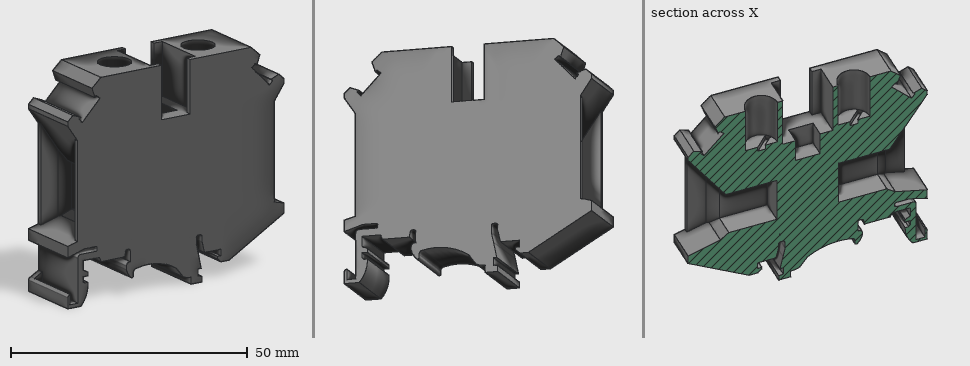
import cadquery as cq
import math


THICKNESS = 15.0
LENGTH = 54.9
HEIGHT = 49.8
END = LENGTH / 2

SHOULDER_Y = 19.05
CHAMFER_TIP = (21.3, 47.8)
NOSE_TIP = (20.55, 45.6)
NOSE_ROOT = (20.2, 45.95)
SEAT_TOP = (19.3, 45.25)
SEAT_BOTTOM = (23.8, 40.65)
BARB_ROOT = (24.55, 41.5)
BARB_TIP = (24.15, 41.85)
LIP_PEAK = (26.15, 42.6)
LIP_FRONT_Z = 41.4
SIDE_Y = 25.0
SIDE_TOP_Z = 36.85
SIDE_BOTTOM_Z = 14.5
LIP_UNDER_Z = 40.4
LEDGE_Z = 13.85
LEDGE_UNDER_Z = 11.65
LATCH_LEDGE_UNDER_Z = 11.3

SKIRT_Z = 6.4
WEB_Z = 9.0
WEB_END_Y = -18.95
ARM_UNDER_Z = 10.0
ARM_ROOT_Y = -19.45
SLOT_TOP_Z = 10.55
SLOT_ROUND = 0.5
CLAW_Y = 11.4
CLAW_TIP_Y = 10.55
CLAW_LIP_TOP_Z = 5.0
CLAW_LIP_BOTTOM_Z = 4.45
CLAW_BOTTOM_Z = 3.6
CLAW_BOTTOM_END_Y = 13.45
SKIRT_SLOT_Y = 6.65
SKIRT_SLOT_KINK_Z = 8.9
SKIRT_SLOT_MOUTH_Y = 7.25

LEG_LEFT_Y = 5.2
LEG_KINK_Z = 8.55
LEG_SKIRT_Y = 5.7
LEG_FLANK_END = (6.4, 3.1)
LEG_NECK_Y = 5.65
LEG_NECK_BOTTOM_Z = 1.5
LEG_TOE_Y = 6.65
LEG_TOE_Z = 1.25
LEG_HEEL_Y = 3.85
LEG_HEEL_Z = 1.6
ARCH_BLEND_MID = (-10.6, 5.65)
ARCH_START = (-10.0, 5.95)
ARCH_MID = (-4.8, 6.1)
ARCH_END = (0.05, 4.25)
HEEL_BLEND_START = (1.8, 2.05)
HEEL_BLEND_MID = (2.7, 1.7)
HOOK_NECK_Z = 7.7
HOOK_INNER_Y = -10.8
HOOK_SLOT_TOP_Y = -12.7
HOOK_SLOT_MOUTH_Y = -13.0
HOOK_Y = -11.6
HOOK_OUTER_Y = -12.6
HOOK_SHOULDER_MID = (-12.3, 7.45)
HOOK_OUTER_TOP_Z = 6.9
HOOK_OUTER_BOTTOM_Z = 6.1
HOOK_FLANK_MID = (-12.15, 5.05)
HOOK_TIP_START = (-11.4, 4.2)
HOOK_TIP_MID = (-11.1, 4.05)
HOOK_INNER_BOTTOM_Z = 4.4
HOOK_INNER_TOP_Z = 5.05

LATCH_GAP_Y = -20.0
LATCH_GAP_BEND_Y = -23.3
LATCH_GAP_TOP_Z = 12.6
LATCH_GAP_BOTTOM_Z = 11.55
LATCH_GAP_ROUND = 0.35
ARM_INNER_Y = -23.5
ARM_OUTER_Y = -24.9
ARM_BEND = 0.75
TOOTH_Y = -22.3
UPPER_TOOTH_ROOT_Z = 7.85
UPPER_TOOTH_TOP_Z = 7.25
UPPER_TOOTH_BOTTOM_Z = 6.4
LOWER_TOOTH_Z = 5.0
TOOTH_GAP_CHAMFER = 0.4
FOOT_TOE_Y = -24.1
FOOT_CURVE_MID = (-22.85, 2.0)
FOOT_SLOPE_TOP_Z = 4.25
RIM_INNER_Y = -26.85
RIM_TOP_Z = 3.15
RIM_MID = (-27.25, 2.9)
RIM_OUTER_Z = 2.5

GROOVE_START_X = -6.05
GROOVE_FLOOR_Z = 0.8

NOTCH_HALF = 3.6
NOTCH_FLOOR_Z = 37.75
POCKET_HALF_X = 6.25
POCKET_HALF_Y = 5.7
WINDOW_X = 7.4
WINDOW_Y = 5.6
WINDOW_DEPTH = 5.5

SCREW_Y = 10.6
SCREW_DIAMETER = 7.25
SCREW_DEPTH = 11.0
DRIVE_WIDTH = 1.15
DRIVE_DEPTH = 1.1
DRIVE_ANGLE = -45.0

ENTRY_HALF_X = 6.5
ENTRY_BORE_HALF_X = 5.05
ENTRY_TAPER_Y = 20.6
ENTRY_BORE_Y = 18.1
ENTRY_BACK_Y = 7.15
ENTRY_ROOF_Z = 27.95
ENTRY_FLOOR_Z = 15.8
ENTRY_STEP_Z = 17.25


def prism(outline):
    """Extrude a closed YZ outline through the whole thickness."""
    return outline.close().extrude(THICKNESS / 2, both=True)


def slope_y(start, end, z):
    """Y on the straight line through two YZ points at height z."""
    return start[0] + (end[0] - start[0]) * (z - start[1]) / (end[1] - start[1])


def body():
    """Full side outline, extruded without slots, holes and pockets."""
    housing_end = [
        (SHOULDER_Y, HEIGHT),
        CHAMFER_TIP,
        NOSE_TIP,
        NOSE_ROOT,
        SEAT_TOP,
        SEAT_BOTTOM,
        BARB_ROOT,
        BARB_TIP,
        LIP_PEAK,
        (END, LIP_FRONT_Z),
        (END, LIP_UNDER_Z),
        (SIDE_Y, SIDE_TOP_Z),
        (SIDE_Y, SIDE_BOTTOM_Z),
        (END, LEDGE_Z),
    ]
    opposite_end = [(-y, z) for y, z in housing_end]

    outline = cq.Workplane("YZ").polyline(housing_end[::-1] + opposite_end)

    outline = (
        outline
        .lineTo(-END, LATCH_LEDGE_UNDER_Z)
        .lineTo(LATCH_GAP_BEND_Y, LATCH_GAP_TOP_Z)
        .lineTo(LATCH_GAP_BEND_Y, LATCH_GAP_BOTTOM_Z)
        .lineTo(ARM_OUTER_Y + ARM_BEND, LATCH_GAP_BOTTOM_Z)
        .tangentArcPoint((-ARM_BEND, -ARM_BEND))
        .lineTo(ARM_OUTER_Y, FOOT_SLOPE_TOP_Z)
        .lineTo(RIM_INNER_Y, RIM_TOP_Z)
        .threePointArc(RIM_MID, (-END, RIM_OUTER_Z))
        .lineTo(-END, 0)
        .lineTo(FOOT_TOE_Y, 0)
        .threePointArc(FOOT_CURVE_MID, (TOOTH_Y, LOWER_TOOTH_Z))
        .lineTo(ARM_INNER_Y + TOOTH_GAP_CHAMFER, LOWER_TOOTH_Z)
        .lineTo(ARM_INNER_Y, LOWER_TOOTH_Z + TOOTH_GAP_CHAMFER)
        .lineTo(ARM_INNER_Y, UPPER_TOOTH_BOTTOM_Z)
        .lineTo(TOOTH_Y, UPPER_TOOTH_BOTTOM_Z)
        .lineTo(TOOTH_Y, UPPER_TOOTH_TOP_Z)
        .lineTo(ARM_INNER_Y, UPPER_TOOTH_ROOT_Z)
        .lineTo(ARM_INNER_Y, ARM_UNDER_Z)
        .lineTo(ARM_ROOT_Y, ARM_UNDER_Z)
        .lineTo(WEB_END_Y, WEB_Z)
        .lineTo(HOOK_Y, WEB_Z)
    )

    outline = (
        outline
        .lineTo(HOOK_Y, HOOK_NECK_Z)
        .threePointArc(HOOK_SHOULDER_MID, (HOOK_OUTER_Y, HOOK_OUTER_TOP_Z))
        .lineTo(HOOK_OUTER_Y, HOOK_OUTER_BOTTOM_Z)
        .threePointArc(HOOK_FLANK_MID, HOOK_TIP_START)
        .threePointArc(HOOK_TIP_MID, (HOOK_INNER_Y, HOOK_INNER_BOTTOM_Z))
        .lineTo(HOOK_INNER_Y, HOOK_INNER_TOP_Z)
        .threePointArc(ARCH_BLEND_MID, ARCH_START)
        .threePointArc(ARCH_MID, ARCH_END)
        .lineTo(*HEEL_BLEND_START)
        .threePointArc(HEEL_BLEND_MID, (LEG_HEEL_Y, LEG_HEEL_Z))
        .lineTo(LEG_HEEL_Y, 0)
        .lineTo(LEG_TOE_Y, 0)
        .lineTo(LEG_TOE_Y, LEG_TOE_Z)
        .lineTo(LEG_NECK_Y, LEG_NECK_BOTTOM_Z)
        .lineTo(LEG_NECK_Y, LEG_FLANK_END[1])
        .lineTo(*LEG_FLANK_END)
        .lineTo(LEG_SKIRT_Y, SKIRT_Z)
    )

    outline = (
        outline
        .lineTo(CLAW_Y, SKIRT_Z)
        .lineTo(CLAW_Y, CLAW_LIP_TOP_Z)
        .lineTo(CLAW_TIP_Y, CLAW_LIP_TOP_Z)
        .lineTo(CLAW_TIP_Y, CLAW_LIP_BOTTOM_Z)
        .lineTo(CLAW_Y, CLAW_BOTTOM_Z)
        .lineTo(CLAW_BOTTOM_END_Y, CLAW_BOTTOM_Z)
        .lineTo(END, LEDGE_UNDER_Z)
    )
    return prism(outline)


def leg_slots():
    """Round-topped slots on both sides of the centre leg."""
    skirt_slot = [
        (SKIRT_SLOT_Y, SLOT_TOP_Z),
        (LEG_LEFT_Y, SLOT_TOP_Z),
        (LEG_LEFT_Y, LEG_KINK_Z),
        (LEG_SKIRT_Y, SKIRT_Z),
        (SKIRT_SLOT_MOUTH_Y, SKIRT_Z),
        (SKIRT_SLOT_Y, SKIRT_SLOT_KINK_Z),
    ]
    hook_slot = [
        (HOOK_Y, SLOT_TOP_Z),
        (HOOK_SLOT_TOP_Y, SLOT_TOP_Z),
        (HOOK_SLOT_MOUTH_Y, WEB_Z),
        (HOOK_Y, WEB_Z),
    ]
    slots = cq.Workplane("YZ")
    for points in (skirt_slot, hook_slot):
        slot = prism(cq.Workplane("YZ").polyline(points))
        slots = slots.add(slot.faces(">Z").edges("|X").fillet(SLOT_ROUND))
    return slots.combine()


def latch_gap():
    """Inner, round-ended part of the gap above the spring arm."""
    gap = prism(cq.Workplane("YZ").polyline([
        (LATCH_GAP_Y, LATCH_GAP_TOP_Z),
        (LATCH_GAP_BEND_Y, LATCH_GAP_TOP_Z),
        (LATCH_GAP_BEND_Y, LATCH_GAP_BOTTOM_Z),
        (LATCH_GAP_Y, LATCH_GAP_BOTTOM_Z),
    ]))
    return gap.faces(">Y").edges("|X").fillet(LATCH_GAP_ROUND)


def foot_groove():
    """Groove behind the foot rim, closed at -X and open at +X."""
    return cq.Workplane("XY").box(
        THICKNESS / 2 - GROOVE_START_X,
        ARM_OUTER_Y - RIM_INNER_Y,
        FOOT_SLOPE_TOP_Z - GROOVE_FLOOR_Z,
        centered=False,
    ).translate((GROOVE_START_X, RIM_INNER_Y, GROOVE_FLOOR_Z))


def middle_notch():
    """Full-width notch, wider pocket between its side walls, and floor window."""
    depth = HEIGHT - NOTCH_FLOOR_Z
    floor = cq.Workplane("XY").workplane(offset=NOTCH_FLOOR_Z)
    notch = floor.rect(THICKNESS, 2 * NOTCH_HALF).extrude(depth)
    pocket = floor.rect(2 * POCKET_HALF_X, 2 * POCKET_HALF_Y).extrude(depth)
    window = floor.rect(WINDOW_X, WINDOW_Y).extrude(-WINDOW_DEPTH)
    return notch.union(pocket).union(window)


def screw_hole(y):
    """Round hole with a diagonal drive slot across the screw head in its floor."""
    floor = cq.Workplane("XY", origin=(0, y, HEIGHT - SCREW_DEPTH))
    radius = SCREW_DIAMETER / 2
    drive_length = 2 * math.sqrt(radius**2 - (DRIVE_WIDTH / 2) ** 2)
    bore = floor.circle(radius).extrude(SCREW_DEPTH)
    drive = (
        floor
        .transformed(rotate=(0, 0, DRIVE_ANGLE))
        .rect(drive_length, DRIVE_WIDTH)
        .extrude(-DRIVE_DEPTH)
    )
    return bore.union(drive)


def wire_entry():
    """Funnel and bore in the -Y end wall: side profile limited by the tapering plan."""
    lip = (-END, LIP_UNDER_Z)
    wall_top = (-SIDE_Y, SIDE_TOP_Z)
    ledge = (-END, LEDGE_Z)
    wall_bottom = (-SIDE_Y, SIDE_BOTTOM_Z)
    side_profile = prism(cq.Workplane("YZ").polyline([
        wall_bottom,
        wall_top,
        (slope_y(lip, wall_top, ENTRY_ROOF_Z), ENTRY_ROOF_Z),
        (-ENTRY_BACK_Y, ENTRY_ROOF_Z),
        (-ENTRY_BACK_Y, ENTRY_STEP_Z),
        (-ENTRY_BORE_Y, ENTRY_STEP_Z),
        (slope_y(ledge, wall_bottom, ENTRY_FLOOR_Z), ENTRY_FLOOR_Z),
    ]))
    plan = cq.Workplane("XY").polyline([
        (-ENTRY_HALF_X, -END),
        (ENTRY_HALF_X, -END),
        (ENTRY_HALF_X, -ENTRY_TAPER_Y),
        (ENTRY_BORE_HALF_X, -ENTRY_BORE_Y),
        (ENTRY_BORE_HALF_X, -ENTRY_BACK_Y),
        (-ENTRY_BORE_HALF_X, -ENTRY_BACK_Y),
        (-ENTRY_BORE_HALF_X, -ENTRY_BORE_Y),
        (-ENTRY_HALF_X, -ENTRY_TAPER_Y),
    ]).close().extrude(HEIGHT)
    return side_profile.intersect(plan)


result = body().cut(leg_slots()).cut(latch_gap()).cut(foot_groove()).cut(middle_notch())

for screw_y in (-SCREW_Y, SCREW_Y):
    result = result.cut(screw_hole(screw_y))

entry = wire_entry()
result = result.cut(entry).cut(entry.mirror("XZ"))